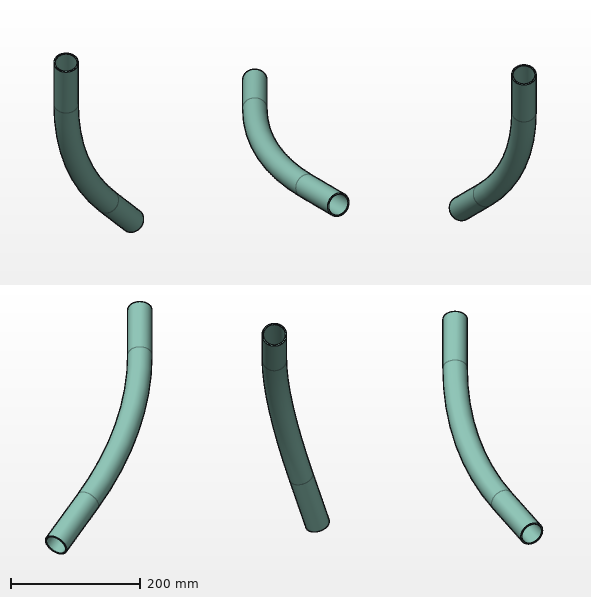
import cadquery as cq
import math

outer_diameter = 38.5
inner_diameter = 34.0
leg_length = 101.0
bend_angle = 30.0
overall_height = 504.0

bend_sin = math.sin(math.radians(bend_angle))
bend_cos = math.cos(math.radians(bend_angle))
tilted_end_drop = outer_diameter / 2 * bend_sin
bend_height = overall_height - leg_length * (1 + bend_cos) - tilted_end_drop
bend_radius = bend_height / bend_sin


def centreline_point(angle):
    """Point (y, z) on the bend after turning through the angle in degrees."""
    turn = math.radians(angle)
    y = bend_radius * (1 - math.cos(turn))
    z = overall_height - leg_length - bend_radius * math.sin(turn)
    return y, z


bend_start = centreline_point(0)
bend_middle = centreline_point(bend_angle / 2)
bend_end = centreline_point(bend_angle)
lower_end = (
    bend_end[0] + leg_length * bend_sin,
    bend_end[1] - leg_length * bend_cos,
)
centreline = (
    cq.Workplane("YZ")
    .moveTo(0, overall_height)
    .lineTo(*bend_start)
    .threePointArc(bend_middle, bend_end)
    .lineTo(*lower_end)
)

result = (
    cq.Workplane("XY", origin=(0, 0, overall_height))
    .circle(outer_diameter / 2)
    .circle(inner_diameter / 2)
    .sweep(centreline)
)